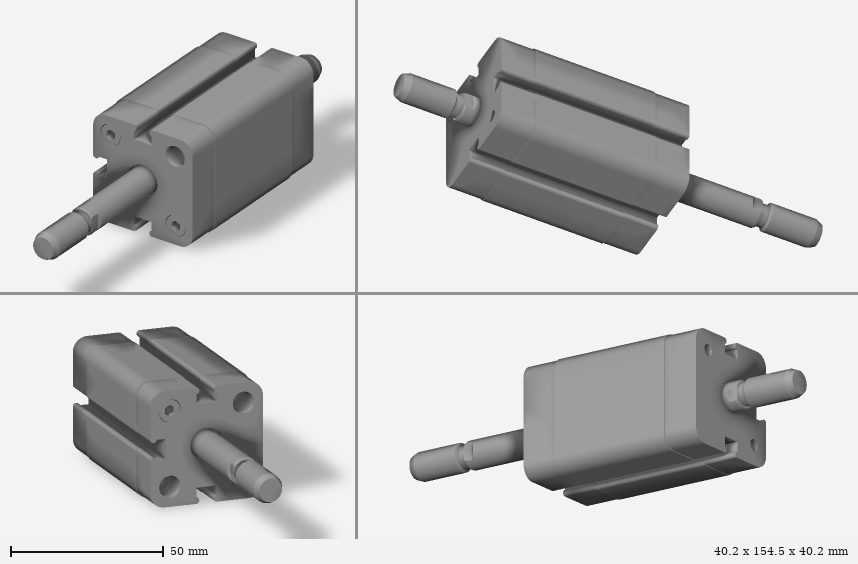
import cadquery as cq
import math

total_length = 154.5
front_end = -total_length / 2
rear_end = total_length / 2
body_front = -20.0
body_rear = 49.6
cap_length = 12.7

barrel_width = 40.2
cap_width = 39.7
corner_radius = 5.0

slot_opening = 5.3
slot_width = 7.1
slot_depth = 5.5
lip_height = 2.2
lip_outer_radius = 1.0
slot_angles = (0, 90, 180)

rod_diameter = 10.0
tip_diameter = 8.0
tip_length = 2.5
relief_diameter = 7.9
thread_length = 18.8
relief_end = 22.1
relief_chamfer_length = 0.6
shoulder_chamfer_length = 0.8
shoulder_chamfer_depth = 0.3
flat_width = 8.0
flat_length = 3.2
flat_runout = (rod_diameter - flat_width) / 2
bearing_diameter = 11.6
bearing_depth = 1.5

hole_offset = 13.0
mount_hole_diameter = 4.2
mount_bore_diameter = 7.5
mount_bore_depth = 9.3
screw_bore_diameter = 8.0
screw_bore_depth = 4.6
screw_head_diameter = 7.5
screw_head_recess = 0.2
socket_flats = 3.4
socket_depth = 2.3


def front_plane(y):
    """Sketch plane at the given Y with X right, Z up and a normal toward -Y."""
    return cq.Workplane("XZ", origin=(0, y, 0))


def slot_cutter(width, y_start, y_end):
    """Slot in the top face of a section, running from y_start to y_end."""
    surface = width / 2
    floor = surface - slot_depth
    tip = slot_opening / 2
    wall = slot_width / 2
    lip_bottom = surface - lip_height
    lip_inner_radius = wall - tip
    half_slot = (
        front_plane(y_end)
        .moveTo(0, floor)
        .lineTo(wall, floor)
        .lineTo(wall, lip_bottom)
        .radiusArc((tip, lip_bottom + lip_inner_radius), lip_inner_radius)
        .lineTo(tip, surface - lip_outer_radius)
        .radiusArc((tip + lip_outer_radius, surface), lip_outer_radius)
        .lineTo(0, surface)
        .close()
        .extrude(y_end - y_start)
    )
    return half_slot.union(half_slot.mirror("YZ"))


def slotted_section(width, y_start, y_end):
    """Rounded square length of housing with slots on the top, left and bottom."""
    section = (
        front_plane(y_end)
        .rect(width, width)
        .extrude(y_end - y_start)
        .edges("|Y")
        .fillet(corner_radius)
    )
    cutter = slot_cutter(width, y_start, y_end)
    for angle in slot_angles:
        section = section.cut(cutter.rotate((0, 0, 0), (0, 1, 0), -angle))
    return section


def rod(length):
    """Rod from Y = 0 to its threaded tip at Y = length."""
    radius = rod_diameter / 2
    relief_radius = relief_diameter / 2
    thread_start = length - thread_length
    shoulder = length - relief_end
    turned = (
        cq.Workplane("XY")
        .moveTo(0, 0)
        .lineTo(radius, 0)
        .lineTo(radius, shoulder - shoulder_chamfer_length)
        .lineTo(radius - shoulder_chamfer_depth, shoulder)
        .lineTo(relief_radius, shoulder)
        .lineTo(relief_radius, thread_start - relief_chamfer_length)
        .lineTo(radius, thread_start)
        .lineTo(radius, length - tip_length)
        .lineTo(tip_diameter / 2, length)
        .lineTo(0, length)
        .close()
        .revolve(360, (0, 0, 0), (0, 1, 0))
    )
    flat_start = shoulder - flat_length
    flat_cutter = (
        cq.Workplane("XY")
        .moveTo(flat_width / 2, shoulder)
        .lineTo(flat_width / 2, flat_start)
        .lineTo(radius, flat_start - flat_runout)
        .lineTo(radius, shoulder)
        .close()
        .extrude(radius, both=True)
    )
    return turned.cut(flat_cutter).cut(flat_cutter.mirror("YZ"))


barrel_front = body_front + cap_length
barrel_rear = body_rear - cap_length
housing = (
    slotted_section(barrel_width, barrel_front, barrel_rear)
    .union(slotted_section(cap_width, body_front, barrel_front))
    .union(slotted_section(cap_width, barrel_rear, body_rear))
)

mount_points = [(hole_offset, hole_offset), (-hole_offset, -hole_offset)]
mount_holes = (
    front_plane(body_rear)
    .pushPoints(mount_points)
    .circle(mount_hole_diameter / 2)
    .extrude(body_rear - body_front)
)
mount_bores = (
    front_plane(body_front)
    .pushPoints(mount_points)
    .circle(mount_bore_diameter / 2)
    .extrude(-mount_bore_depth)
)
housing = housing.cut(mount_holes).cut(mount_bores)

screw_points = [(-hole_offset, hole_offset), (hole_offset, -hole_offset)]
screw_bores = (
    front_plane(body_front)
    .pushPoints(screw_points)
    .circle(screw_bore_diameter / 2)
    .extrude(-screw_bore_depth)
)
screw_heads = (
    front_plane(body_front + screw_bore_depth)
    .pushPoints(screw_points)
    .circle(screw_head_diameter / 2)
    .extrude(screw_bore_depth - screw_head_recess)
)
sockets = (
    front_plane(body_front + screw_head_recess)
    .transformed(rotate=(0, 0, 90))
    .pushPoints([(z, -x) for x, z in screw_points])
    .polygon(6, socket_flats / math.cos(math.pi / 6))
    .extrude(-socket_depth)
)
housing = housing.cut(screw_bores).union(screw_heads).cut(sockets)

bearing_recess = front_plane(body_front).circle(bearing_diameter / 2).extrude(-bearing_depth)
housing = housing.cut(bearing_recess)

rear_rod = rod(rear_end)
front_rod = rod(-front_end).mirror("XZ")
result = housing.union(rear_rod).union(front_rod)